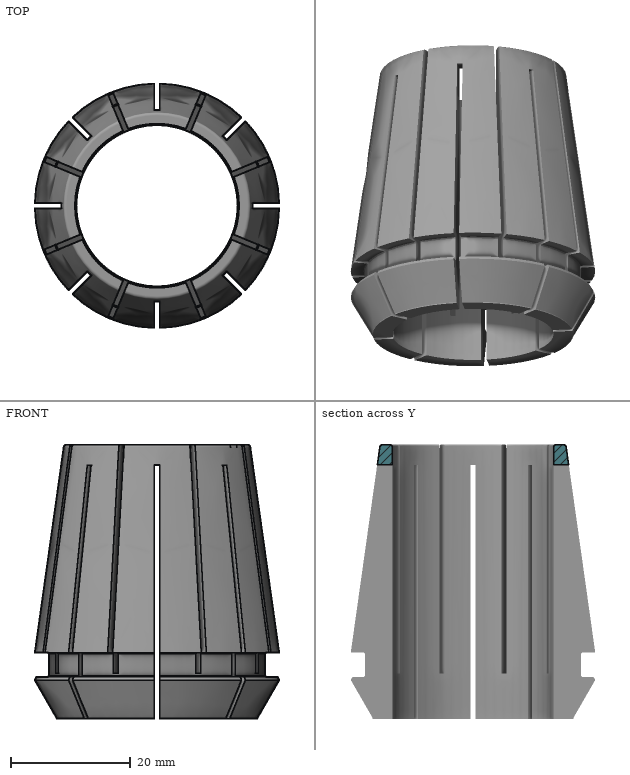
import cadquery as cq
import math

height = 46.0
max_diameter = 41.0
bore_diameter = 27.0

cone_base_z = 11.15
cone_half_angle = 8.0
top_rim_fillet = 0.5
top_bore_chamfer = 0.28

neck_diameter = 36.3
groove_floor_z = 7.05
flange_rim_chamfer_height = 0.5
flange_rim_chamfer_width = 0.28
groove_root_chamfer = 0.2
bottom_diameter = 33.63
bottom_land_height = 0.15

slot_width = 0.9
slots_per_end = 8
bottom_slot_end_z = 42.55
top_slot_end_z = 7.65

max_radius = max_diameter / 2
bore_radius = bore_diameter / 2
neck_radius = neck_diameter / 2
bottom_radius = bottom_diameter / 2
slot_pitch = 360.0 / slots_per_end


def cone_radius(z):
    """Outer radius of the clamping cone at height z."""
    return max_radius - (z - cone_base_z) * math.tan(math.radians(cone_half_angle))


def collet_body():
    """Revolve the wall section around Z and round its top rim."""
    section = [
        (bore_radius, 0),
        (bottom_radius, 0),
        (bottom_radius, bottom_land_height),
        (max_radius, groove_floor_z - flange_rim_chamfer_height),
        (max_radius - flange_rim_chamfer_width, groove_floor_z),
        (neck_radius + groove_root_chamfer, groove_floor_z),
        (neck_radius, groove_floor_z + groove_root_chamfer),
        (neck_radius, cone_base_z - groove_root_chamfer),
        (neck_radius + groove_root_chamfer, cone_base_z),
        (max_radius, cone_base_z),
        (cone_radius(height), height),
        (bore_radius + top_bore_chamfer, height),
        (bore_radius, height - top_bore_chamfer),
    ]
    body = cq.Workplane("XZ").polyline(section).close().revolve(360, (0, 0), (0, 1))
    return body.faces(">Z").edges(cq.selectors.RadiusNthSelector(-1)).fillet(top_rim_fillet)


def cut_slots(body, first_angle, start_z, end_z):
    """Cut evenly spaced radial slots through the wall from start_z to end_z."""
    blade = (
        cq.Workplane("XY", origin=(0, 0, start_z))
        .rect(max_diameter, slot_width)
        .extrude(end_z - start_z)
    )
    for index in range(slots_per_end // 2):
        angle = first_angle + index * slot_pitch
        body = body.cut(blade.rotate((0, 0, 0), (0, 0, 1), angle))
    return body


result = collet_body()
result = cut_slots(result, 0, 0, bottom_slot_end_z)
result = cut_slots(result, slot_pitch / 2, top_slot_end_z, height)